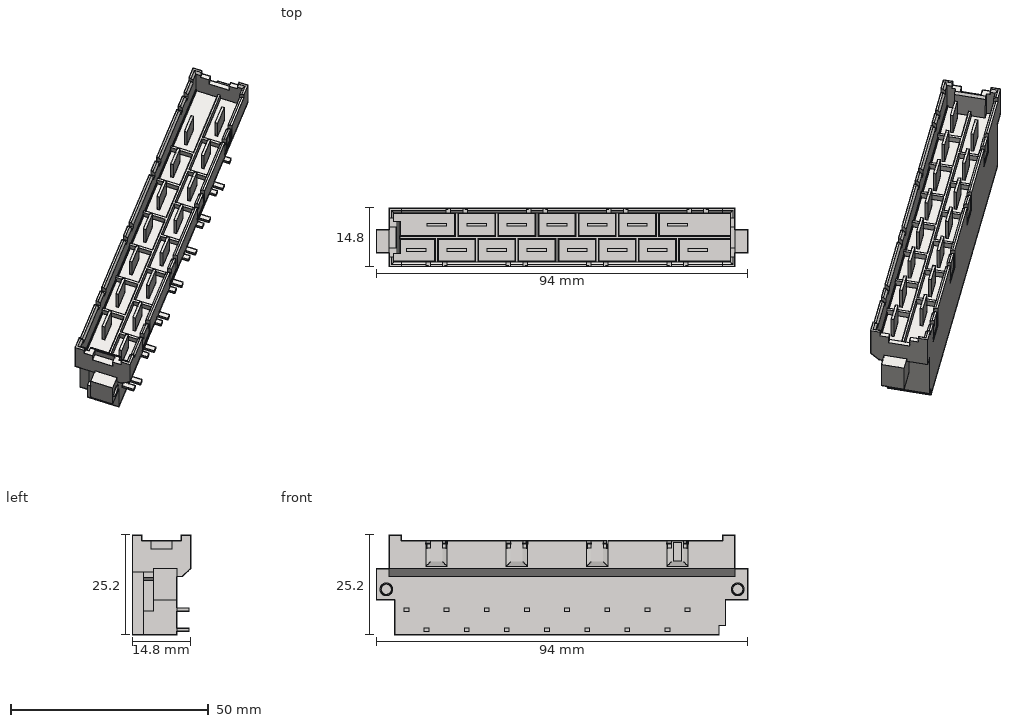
import cadquery as cq
import math

pitch = 10.16
half_pitch = pitch / 2
contact_x = -pitch / 8

shroud_length = 87.5
shroud_depth = 14.8
shroud_left = -shroud_length / 2
shroud_right = shroud_length / 2
shroud_back = shroud_depth / 2
shroud_front = -shroud_depth / 2
top_z = 25.2
rim_z = 23.8
lip_z = 16.75
shroud_under_z = 14.7
bevel_depth = 2.2
wall = 1.15
rim_chamfer = 0.6
post_length = 3.1
post_depth = 2.45
end_notch_width = 5.4
end_notch_depth = 1.7
end_notch_z = 21.75

body_front = -3.9
body_left = -42.35
body_right = 41.35
step_x = 39.75
step_z = 2.3
plate_front = shroud_back - 2.83
plate_left = -40.2
plate_top_z = 15.85
side_recess_front = 2.0
side_recess_z = 6.0
side_recess_left = -41.2
recess_slope_z = 13.75
recess_ledge_z = 14.45
recess_ledge_left = -41.9

ear_span = 94.0
ear_back = 2.0
ear_bottom_z = 8.8
ear_top_z = lip_z
hole_spacing = 88.9
hole_z = 11.5
hole_diameter = 2.6
hole_mouth_diameter = 3.2
hole_mouth_depth = 0.6
hole_depth = 4.0

floor_z = 16.5
foot_width = 0.25
foot_height = 0.6
rib_height = 1.5
rib_base = 0.95
rib_top = 0.6
rib_draft = (rib_base - rib_top) / 2

front_count = 8
back_count = 7
row_y = 3.2
blade_width = 4.95
blade_thickness = 0.7
blade_top_z = 22.9
contact_root = 1.0
pin_width = 1.2
pin_height = 0.85
pin_tip_y = -7.0
pin_shift = -pitch / 4
upper_pin_z = 6.35
lower_pin_z = 1.27

latch_count = 4
latch_pitch = 2 * pitch
latch_width = 5.4
latch_bottom_z = 17.3
latch_band = 1.15
latch_groove = 0.3
latch_slot_depth = 1.85
label_width = 2.1
label_bottom_z = 18.7
label_top_z = 23.3
label_recess = 0.15

key_half_width = 4.0
key_top_x = shroud_left + 1.95
key_edge_x = shroud_left + 2.55
key_base_x = shroud_left + 2.85


def block(x0, x1, y0, y1, z0, z1):
    """Axis-aligned box between two corners."""
    return cq.Workplane("XY").box(x1 - x0, y1 - y0, z1 - z0, centered=False).translate((x0, y0, z0))


def row_positions(count, spacing):
    """X positions of a row centred on the contacts."""
    first = contact_x - (count - 1) * spacing / 2
    return [first + i * spacing for i in range(count)]


front_blades = row_positions(front_count, pitch)
back_blades = row_positions(back_count, pitch)


def extrude_along_x(points, x0, x1):
    """Prism along X from a (y, z) outline."""
    return cq.Workplane("YZ").polyline(points).close().extrude(x1 - x0).translate((x0, 0, 0))


def make_shroud():
    outline = [
        (shroud_back, plate_top_z),
        (shroud_back, top_z),
        (shroud_front, top_z),
        (shroud_front, lip_z),
        (shroud_front + bevel_depth, shroud_under_z),
        (body_front, shroud_under_z),
        (body_front, plate_top_z),
    ]
    shroud = extrude_along_x(outline, shroud_left, shroud_right)
    half_cavity = shroud_depth / 2 - wall
    half_floor = half_cavity - foot_width
    cavity_outline = [
        (-half_floor, floor_z),
        (-half_floor, floor_z + foot_height),
        (-half_cavity, floor_z + foot_height),
        (-half_cavity, top_z),
        (half_cavity, top_z),
        (half_cavity, floor_z + foot_height),
        (half_floor, floor_z + foot_height),
        (half_floor, floor_z),
    ]
    shroud = shroud.cut(extrude_along_x(cavity_outline, shroud_left + wall, shroud_right - wall))
    long_gap = block(
        shroud_left + post_length, shroud_right - post_length, shroud_front, shroud_back, rim_z, top_z
    )
    end_gap = block(
        shroud_left, shroud_right, shroud_front + post_depth, shroud_back - post_depth, rim_z, top_z
    )
    return shroud.cut(end_gap).cut(long_gap)


def rim_bevel(level):
    """Frustum that bevels the inner rim edge at one height."""
    mouth = wall - rim_chamfer
    return (
        cq.Workplane("XY", origin=(0, 0, level))
        .rect(shroud_length - 2 * mouth, shroud_depth - 2 * mouth)
        .extrude(-rim_chamfer, taper=45)
    )


def bevel_rim(shroud):
    low_bevel = rim_bevel(rim_z).intersect(
        block(
            shroud_left + post_length, shroud_right - post_length, shroud_front, shroud_back, floor_z, top_z
        )
    )
    return shroud.cut(low_bevel).cut(rim_bevel(top_z))


def make_key():
    slope = key_edge_x - key_top_x
    inner = shroud_left + wall / 2
    outline = [
        (inner, floor_z),
        (key_base_x, floor_z),
        (key_edge_x, rim_z - slope),
        (key_top_x, rim_z),
        (inner, rim_z),
    ]
    return cq.Workplane("XZ").polyline(outline).close().extrude(key_half_width, both=True)


def end_notches():
    half = end_notch_width / 2
    left = block(shroud_left, shroud_left + end_notch_depth, -half, half, end_notch_z, top_z)
    right = block(shroud_right - wall, shroud_right, -half, half, end_notch_z, top_z)
    return left.union(right)


def make_body():
    main = block(body_left, body_right, body_front, plate_front, 0, plate_top_z)
    plate = block(plate_left, body_right, plate_front, shroud_back, 0, plate_top_z)
    recess_outline = [
        (body_left, side_recess_z),
        (side_recess_left, side_recess_z),
        (side_recess_left, recess_slope_z),
        (recess_ledge_left, recess_ledge_z),
        (recess_ledge_left, plate_top_z),
        (body_left, plate_top_z),
    ]
    recess = (
        cq.Workplane("XZ", origin=(0, plate_front, 0))
        .polyline(recess_outline)
        .close()
        .extrude(plate_front - side_recess_front)
    )
    corner_step = block(step_x, body_right, body_front, shroud_back, 0, step_z)
    return main.cut(recess).union(plate).cut(corner_step)


def make_ears():
    half = ear_span / 2
    left = block(-half, side_recess_left, body_front, ear_back, ear_bottom_z, ear_top_z)
    right = block(body_right, half, body_front, ear_back, ear_bottom_z, ear_top_z)
    clearance = block(
        shroud_left + wall, shroud_right - wall, shroud_front, shroud_back, floor_z, top_z
    )
    return left.union(right).cut(clearance)


def mounting_holes():
    centres = [(-hole_spacing / 2, hole_z), (hole_spacing / 2, hole_z)]
    plane = cq.Workplane("XZ", origin=(0, body_front, 0)).pushPoints(centres)
    bores = plane.circle(hole_diameter / 2).extrude(-hole_depth)
    mouths = plane.circle(hole_mouth_diameter / 2).extrude(-hole_mouth_depth)
    return bores.union(mouths)


def rib(x0, x1, y0, y1):
    """Drafted rib on the chamber floor; the rectangle is its base."""
    return (
        cq.Workplane("XY", origin=((x0 + x1) / 2, (y0 + y1) / 2, floor_z))
        .rect(x1 - x0, y1 - y0)
        .extrude(rib_height, taper=math.degrees(math.atan(rib_draft / rib_height)))
    )


def make_ribs():
    sunk = wall / 2
    half = rib_base / 2
    ribs = rib(shroud_left + sunk, shroud_right - sunk, -half, half)
    for x in back_blades[:-1]:
        middle = x + half_pitch
        ribs = ribs.union(rib(middle - half, middle + half, -half, shroud_back - sunk))
    for x in front_blades[:-1]:
        middle = x + half_pitch
        ribs = ribs.union(rib(middle - half, middle + half, shroud_front + sunk, half))
    return ribs


def contact(x, y, pin_z):
    """Blade standing on the chamber floor and its solder pin on the body front."""
    blade = block(
        x - blade_width / 2, x + blade_width / 2,
        y - blade_thickness / 2, y + blade_thickness / 2,
        floor_z - contact_root, blade_top_z,
    )
    pin_x = x + pin_shift
    pin = block(
        pin_x - pin_width / 2, pin_x + pin_width / 2,
        pin_tip_y, body_front + contact_root,
        pin_z - pin_height / 2, pin_z + pin_height / 2,
    )
    return blade.union(pin)


def latch_cut(x):
    """Material removed around one latch tongue in the front wall."""
    left = x - latch_width / 2
    right = x + latch_width / 2
    pocket = block(left, right, shroud_front, shroud_front + latch_groove, latch_bottom_z, rim_z)
    tongue_top = rim_z + 2 * latch_band
    tongue = (
        cq.Workplane("XZ", origin=(x, shroud_front + latch_groove, (latch_bottom_z + tongue_top) / 2))
        .rect(latch_width, tongue_top - latch_bottom_z)
        .extrude(latch_groove, taper=math.degrees(math.atan(latch_band / latch_groove)))
    )
    cut = pocket.cut(tongue)
    slot_z = rim_z - latch_slot_depth
    for slot_left in (left, right - latch_band):
        slot = block(slot_left, slot_left + latch_band, shroud_front, shroud_front + wall, slot_z, rim_z)
        cut = cut.union(slot)
    return cut


def cut_latches(part):
    for x in row_positions(latch_count, latch_pitch):
        part = part.cut(latch_cut(x))
        part = part.cut(latch_cut(x + half_pitch).mirror("XZ"))
    label_x = row_positions(latch_count, latch_pitch)[-1]
    label = block(
        label_x - label_width / 2, label_x + label_width / 2,
        shroud_front, shroud_front + label_recess,
        label_bottom_z, label_top_z,
    )
    return part.cut(label)


part = bevel_rim(make_shroud())
part = part.union(make_key()).cut(end_notches())
part = part.union(make_body()).union(make_ears()).cut(mounting_holes())
part = part.union(make_ribs())
part = cut_latches(part)
for blade_x in front_blades:
    part = part.union(contact(blade_x, -row_y, upper_pin_z))
for blade_x in back_blades:
    part = part.union(contact(blade_x, row_y, lower_pin_z))

result = part